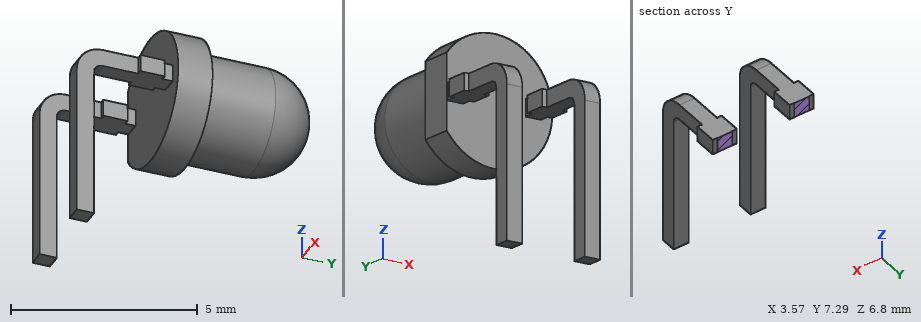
import cadquery as cq


lens_diameter = 3.0
lens_radius = lens_diameter / 2
lens_straight_length = 2.0
flange_diameter = 3.8
flange_radius = flange_diameter / 2
flange_thickness = 1.0
flat_offset = 1.55

lead_pitch = 2.54
lead_size = 0.5
lead_reach = 2.54
lead_drop = 4.9
bend_inner_radius = 0.25
bend_outer_radius = bend_inner_radius + lead_size
tab_width = 0.8
tab_start = 0.3
tab_length = 0.7


def make_lens():
    """Cylinder with a hemispherical end, revolved about the body axis."""
    dome_base = flange_thickness + lens_straight_length
    dome_tip = dome_base + lens_radius
    mid_offset = lens_radius * 0.5**0.5
    profile = (
        cq.Workplane("XY")
        .lineTo(lens_radius, 0)
        .lineTo(lens_radius, dome_base)
        .threePointArc((mid_offset, dome_base + mid_offset), (0, dome_tip))
        .close()
    )
    return profile.revolve(360, (0, 0), (0, 1))


def make_flange():
    """Round flange with a flat on its -X side."""
    disc = cq.Workplane("XZ").circle(flange_radius).extrude(-flange_thickness)
    keep_width = flat_offset + flange_radius
    keep = cq.Workplane("XY").box(
        keep_width, flange_thickness, flange_diameter, centered=(False, False, True)
    )
    return disc.intersect(keep.translate((-flat_offset, 0, 0)))


def make_lead(x_center):
    """Square lead that leaves the flange along -Y and bends down to -Z."""
    half = lead_size / 2
    outer_y = -lead_reach - half
    inner_y = -lead_reach + half
    bend_end_z = half - bend_outer_radius
    bend_start_y = outer_y + bend_outer_radius
    lead = (
        cq.Workplane("YZ")
        .moveTo(0, half)
        .lineTo(bend_start_y, half)
        .radiusArc((outer_y, bend_end_z), -bend_outer_radius)
        .lineTo(outer_y, -lead_drop)
        .lineTo(inner_y, -lead_drop)
        .lineTo(inner_y, bend_end_z)
        .radiusArc((bend_start_y, -half), bend_inner_radius)
        .lineTo(0, -half)
        .close()
        .extrude(half, both=True)
    )
    tab = cq.Workplane("XY").box(tab_width, tab_length, lead_size)
    tab = tab.translate((0, -tab_start - tab_length / 2, 0))
    return lead.union(tab).translate((x_center, 0, 0))


result = make_lens().union(make_flange())
for side in (-1, 1):
    result = result.union(make_lead(side * lead_pitch / 2))